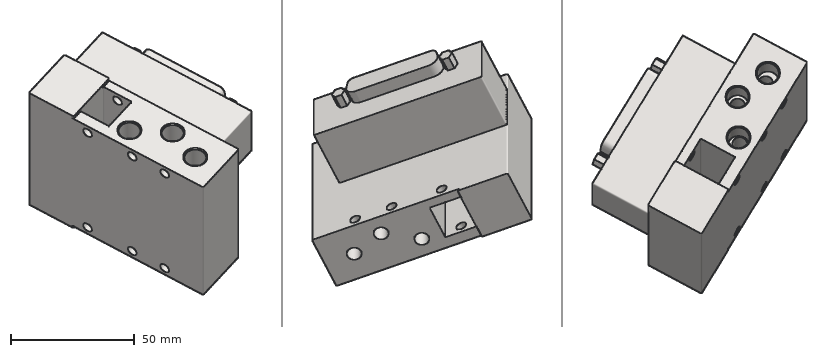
import cadquery as cq
import math

BODY_LENGTH = 86.0
BODY_DEPTH = 25.0
BODY_HEIGHT = 66.0
EDGE_RADIUS = 0.6

CAP_LENGTH = 22.1
CAP_TOP = 34.5
CAP_BOTTOM = -34.0

HOUSING_START_X = 0.25
HOUSING_LENGTH = 73.8
HOUSING_DEPTH = 26.0
HOUSING_BOTTOM = -0.4
HOUSING_TOP = 24.2

CONNECTOR_DEPTH = 5.9
CONNECTOR_CENTER_X = HOUSING_START_X + HOUSING_LENGTH / 2
SHELL_TOP = 20.75
SHELL_HEIGHT = 9.7
SHELL_TOP_WIDTH = 38.3
SHELL_SIDE_ANGLE = 10.0
SHELL_TOP_RADIUS = 2.8
SHELL_BOTTOM_RADIUS = 4.0
SCREW_SPACING = 47.1
SCREW_CENTER_Z = 14.35
SCREW_ACROSS_FLATS = 5.0
HEX_SIDES = 6

MOUNT_HOLE_DIAMETER = 4.3
MOUNT_HOLE_X = (29.0, 51.0, 67.0)
MOUNT_HOLE_Z = 29.0

WINDOW_END_X = 36.0
WINDOW_START_Y = 5.0
WINDOW_END_Y = 21.0
WINDOW_RADIUS = 0.5

PORTS = (
    ((44.0, 8.0), (45.0, 8.0)),
    ((59.0, 17.0), (59.0, 17.0)),
    ((74.0, 11.5), (73.0, 12.0)),
)
PORT_DIAMETER = 8.8
PORT_DEPTH = 10.0
PORT_CHAMFER = 0.5
PORT_CHAMFER_ANGLE = 45.0
PASSAGE_DIAMETER = 6.0

BODY_TOP = BODY_HEIGHT / 2
HOUSING_BACK_Y = BODY_DEPTH + HOUSING_DEPTH


def rounded_upright(length, bottom, top):
    """Block with one corner on the Z axis and its vertical edges rounded."""
    block = cq.Workplane("XY").box(length, BODY_DEPTH, top - bottom, centered=False)
    return block.translate((0, 0, bottom)).edges("|Z").fillet(EDGE_RADIUS)


def make_body():
    plate = rounded_upright(BODY_LENGTH, -BODY_TOP, BODY_TOP)
    cap = rounded_upright(CAP_LENGTH, CAP_BOTTOM, CAP_TOP)
    return plate.union(cap)


def make_housing():
    height = HOUSING_TOP - HOUSING_BOTTOM
    block = cq.Workplane("XY").box(HOUSING_LENGTH, HOUSING_DEPTH, height, centered=False)
    block = block.edges("|Y").fillet(EDGE_RADIUS)
    return block.translate((HOUSING_START_X, BODY_DEPTH, HOUSING_BOTTOM))


def housing_back_plane():
    """Plane on the back of the housing, facing -Y, so negative extrusions run outward."""
    return cq.Workplane("XZ", origin=(CONNECTOR_CENTER_X, HOUSING_BACK_Y, 0))


def make_shell():
    side_spread = SHELL_HEIGHT * math.tan(math.radians(SHELL_SIDE_ANGLE))
    half_top = SHELL_TOP_WIDTH / 2
    half_bottom = half_top + side_spread
    bottom = SHELL_TOP - SHELL_HEIGHT
    outline = [
        (-half_top, SHELL_TOP),
        (half_top, SHELL_TOP),
        (half_bottom, bottom),
        (-half_bottom, bottom),
    ]
    shell = housing_back_plane().polyline(outline).close().extrude(-CONNECTOR_DEPTH)
    shell = shell.faces(">Z").edges("|Y").fillet(SHELL_TOP_RADIUS)
    return shell.faces("<Z").edges("|Y").fillet(SHELL_BOTTOM_RADIUS)


def make_jack_screws():
    corner_diameter = SCREW_ACROSS_FLATS / math.cos(math.pi / HEX_SIDES)
    half_spacing = SCREW_SPACING / 2
    centers = [(-half_spacing, SCREW_CENTER_Z), (half_spacing, SCREW_CENTER_Z)]
    hexagons = housing_back_plane().pushPoints(centers).polygon(HEX_SIDES, corner_diameter)
    return hexagons.extrude(-CONNECTOR_DEPTH)


def make_mount_holes():
    centers = [(x, z) for x in MOUNT_HOLE_X for z in (-MOUNT_HOLE_Z, MOUNT_HOLE_Z)]
    return cq.Workplane("XZ").pushPoints(centers).circle(MOUNT_HOLE_DIAMETER / 2).extrude(-BODY_DEPTH)


def make_window():
    length = WINDOW_END_X - CAP_LENGTH
    width = WINDOW_END_Y - WINDOW_START_Y
    window = cq.Workplane("XY").box(length, width, BODY_HEIGHT, centered=False)
    window = window.faces(">Y").edges("|Z").fillet(WINDOW_RADIUS)
    return window.translate((CAP_LENGTH, WINDOW_START_Y, -BODY_TOP))


def make_port(port_center, passage_center):
    """Chamfered port bored down from the top, with a narrower passage on through the body."""
    top_plane = cq.Workplane("XY", origin=(0, 0, BODY_TOP))
    radius = PORT_DIAMETER / 2
    bore = top_plane.center(*port_center).circle(radius).extrude(-PORT_DEPTH)
    mouth = top_plane.center(*port_center).circle(radius + PORT_CHAMFER)
    mouth = mouth.extrude(-PORT_CHAMFER, taper=PORT_CHAMFER_ANGLE)
    passage = top_plane.center(*passage_center).circle(PASSAGE_DIAMETER / 2).extrude(-BODY_HEIGHT)
    return bore.union(mouth).union(passage)


result = make_body().union(make_housing()).union(make_shell()).union(make_jack_screws())
result = result.cut(make_mount_holes()).cut(make_window())
for port_center, passage_center in PORTS:
    result = result.cut(make_port(port_center, passage_center))